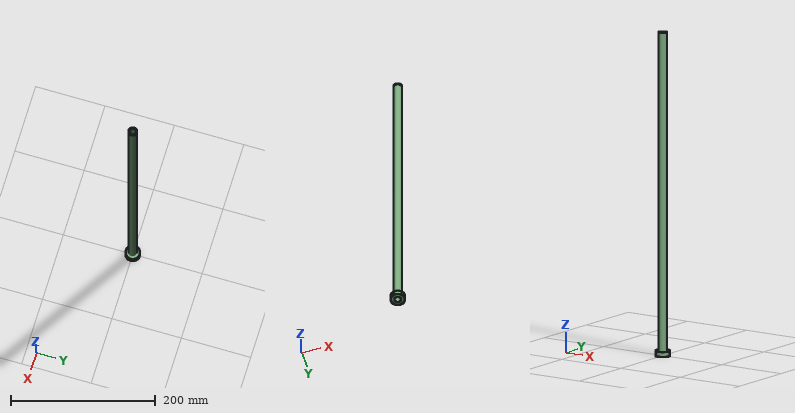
import cadquery as cq

head_diameter = 20.0
head_height = 7.0
tube_diameter = 12.0
tube_length = 450.0
bore_diameter = 9.0
neck_fillet_radius = 0.6

total_length = head_height + tube_length


def make_cylinder(diameter, height):
    """Upright cylinder centred on the Z axis with its base at Z = 0."""
    return cq.Workplane("XY").circle(diameter / 2).extrude(height)


def make_sleeve_body():
    """Head and tube joined, with the inner corner between them rounded."""
    head = make_cylinder(head_diameter, head_height)
    tube = make_cylinder(tube_diameter, total_length)
    body = head.union(tube)
    smallest_circle = cq.selectors.RadiusNthSelector(0)
    neck_corner = body.faces("<Z[1]").edges(smallest_circle)
    return neck_corner.fillet(neck_fillet_radius)


through_bore = make_cylinder(bore_diameter, total_length)

result = make_sleeve_body().cut(through_bore)